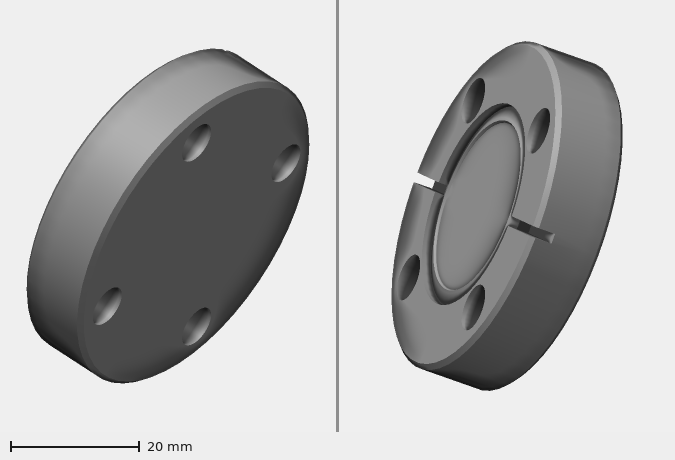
import cadquery as cq
import math

flange_diameter = 53.65
flange_radius = flange_diameter / 2
thickness = 11.95
rim_chamfer = 0.75

recess_radius = 16.45
cone_foot_radius = 16.3
recess_depth = 1.55
knife_radius = 13.9
knife_tip_depth = 0.65
knife_bore_radius = 13.6
center_depth = 1.0

bolt_count = 4
bolt_circle_radius = 20.65
bolt_hole_diameter = 6.7
bolt_entry_diameter = 7.45
bolt_entry_depth = 2.7

groove_width = 1.6
groove_depth = 3.6
groove_angle = 45.0

sealing_face_x = -thickness / 2
back_face_x = thickness / 2


def make_flange_body():
    """Revolve the blank, including the rim chamfers and the sealing profile."""
    return (
        cq.Workplane("XY")
        .moveTo(sealing_face_x + center_depth, 0)
        .lineTo(sealing_face_x + center_depth, knife_bore_radius)
        .lineTo(sealing_face_x + knife_tip_depth, knife_radius)
        .lineTo(sealing_face_x + recess_depth, cone_foot_radius)
        .lineTo(sealing_face_x + recess_depth, recess_radius)
        .lineTo(sealing_face_x, recess_radius)
        .lineTo(sealing_face_x, flange_radius - rim_chamfer)
        .lineTo(sealing_face_x + rim_chamfer, flange_radius)
        .lineTo(back_face_x - rim_chamfer, flange_radius)
        .lineTo(back_face_x, flange_radius - rim_chamfer)
        .lineTo(back_face_x, 0)
        .close()
        .revolve(360, (0, 0, 0), (1, 0, 0))
    )


def make_bolt_holes():
    """Through holes: tapering in from the sealing face, then straight to the back face."""
    hole_radius = bolt_hole_diameter / 2
    hole = (
        cq.Workplane("XY")
        .moveTo(sealing_face_x, 0)
        .lineTo(sealing_face_x, bolt_entry_diameter / 2)
        .lineTo(sealing_face_x + bolt_entry_depth, hole_radius)
        .lineTo(back_face_x, hole_radius)
        .lineTo(back_face_x, 0)
        .close()
        .revolve(360, (0, 0, 0), (1, 0, 0))
        .translate((0, bolt_circle_radius, 0))
    )
    holes = cq.Workplane("XY")
    for index in range(bolt_count):
        holes = holes.add(hole.rotate((0, 0, 0), (1, 0, 0), index * 360 / bolt_count))
    return holes.combine()


def make_leak_check_grooves():
    """Two opposed radial grooves from the recess wall out through the rim."""
    inner_end = math.sqrt(recess_radius**2 - (groove_width / 2) ** 2)
    length = flange_radius - inner_end
    groove = cq.Workplane("XY").box(groove_depth, length, groove_width)
    groove = groove.translate((sealing_face_x + groove_depth / 2, inner_end + length / 2, 0))
    first_groove = groove.rotate((0, 0, 0), (1, 0, 0), groove_angle)
    second_groove = first_groove.rotate((0, 0, 0), (1, 0, 0), 180)
    return first_groove.union(second_groove)


result = make_flange_body().cut(make_bolt_holes()).cut(make_leak_check_grooves())